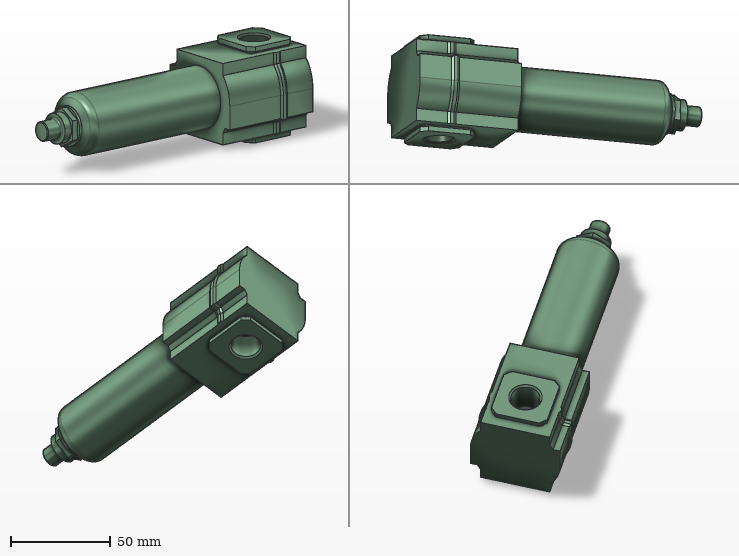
import cadquery as cq
import math


LENGTH = 158.8
WIDTH = 48.5
Y_BACK = LENGTH / 2

HOUSING_LENGTH = 54.6
HOUSING_HALF_HEIGHT = 21.3
FLANK_X = 18.1
BEAD_HEIGHT = 0.71
LOBE_X = WIDTH / 2 - BEAD_HEIGHT
SHELF_Z = 12.2
BEVEL_TOP_Z = 15.1
BEVEL_FOOT_X = 19.8

PORT_STATION = 19.0
BEAD_FOOT_WIDTH = 4.5
BEAD_CREST_WIDTH = 1.9

NECK_WIDTH = 25.9
NECK_HEIGHT = 1.3
NECK_CORNER_CHAMFER = 0.5
PLATE_WIDTH = 29.2
PLATE_THICKNESS = 2.5
PLATE_CORNER_CHAMFER = 3.3
PORT_RADIUS = 7.5
PORT_CHAMFER = 1.0
PORT_DEPTH = 15.9

BOWL_RADIUS = 16.4
BOWL_STRAIGHT_END = 134.7
SHOULDER_RADIUS = 4.5
SHOULDER_ANGLE = math.radians(60)
BOSS_RADIUS = 10.3
BOSS_END = 142.3

HEX_ACROSS_FLATS = 17.6
HEX_END = 145.6
COLLAR_RADIUS = 8.0
COLLAR_END = 149.9
STEM_RADIUS = 5.1
STEM_ROOT_FILLET = 1.0
STEM_TIP_CHAMFER = 0.5


def section_plane(station):
    """XZ plane whose normal is -Y, at a distance from the back face."""
    return cq.Workplane("XZ", origin=(0, Y_BACK - station, 0))


def housing_outline(station):
    """Cross-section of the housing, unchanged by half a turn about the axis."""
    top = HOUSING_HALF_HEIGHT
    arc_end_z = math.sqrt(LOBE_X**2 - FLANK_X**2)
    mid_angle = math.atan2(arc_end_z, FLANK_X) / 2
    mid_x = LOBE_X * math.cos(mid_angle)
    mid_z = LOBE_X * math.sin(mid_angle)
    return (
        section_plane(station)
        .moveTo(FLANK_X, top)
        .lineTo(-FLANK_X, top)
        .lineTo(-FLANK_X, BEVEL_TOP_Z)
        .lineTo(-BEVEL_FOOT_X, SHELF_Z)
        .lineTo(-LOBE_X, SHELF_Z)
        .lineTo(-LOBE_X, 0)
        .threePointArc((-mid_x, -mid_z), (-FLANK_X, -arc_end_z))
        .lineTo(-FLANK_X, -top)
        .lineTo(FLANK_X, -top)
        .lineTo(FLANK_X, -BEVEL_TOP_Z)
        .lineTo(BEVEL_FOOT_X, -SHELF_Z)
        .lineTo(LOBE_X, -SHELF_Z)
        .lineTo(LOBE_X, 0)
        .threePointArc((mid_x, mid_z), (FLANK_X, arc_end_z))
        .close()
    )


def make_bead():
    """Band with sloping sides that follows the side walls and stops flush at top and bottom."""
    first_edge = PORT_STATION - BEAD_FOOT_WIDTH / 2
    slope_width = (BEAD_FOOT_WIDTH - BEAD_CREST_WIDTH) / 2
    band = (
        housing_outline(first_edge)
        .offset2D(BEAD_HEIGHT, "intersection")
        .extrude(BEAD_FOOT_WIDTH)
    )
    band = band.faces("<Y or >Y").chamfer(slope_width, BEAD_HEIGHT)
    limits = cq.Workplane("XY").box(WIDTH, LENGTH, 2 * HOUSING_HALF_HEIGHT)
    return band.intersect(limits)


def square_pad(base_z, width, height, corner_chamfer):
    """Square pad with chamfered corners, centred on the port axis."""
    return (
        cq.Workplane("XY", origin=(0, Y_BACK - PORT_STATION, base_z))
        .rect(width, width)
        .extrude(height)
        .edges("|Z")
        .chamfer(corner_chamfer)
    )


def make_flange():
    """Upper port flange: a narrow neck carrying a wider plate."""
    neck_top = HOUSING_HALF_HEIGHT + NECK_HEIGHT
    neck = square_pad(HOUSING_HALF_HEIGHT, NECK_WIDTH, NECK_HEIGHT, NECK_CORNER_CHAMFER)
    plate = square_pad(neck_top, PLATE_WIDTH, PLATE_THICKNESS, PLATE_CORNER_CHAMFER)
    return neck.union(plate)


def make_port():
    """Blind port with a chamfered mouth, to be cut from the upper flange."""
    mouth_z = HOUSING_HALF_HEIGHT + NECK_HEIGHT + PLATE_THICKNESS
    mouth_radius = PORT_RADIUS + PORT_CHAMFER
    return (
        cq.Workplane("XZ", origin=(0, Y_BACK - PORT_STATION, mouth_z))
        .polyline([
            (0, 0),
            (mouth_radius, 0),
            (PORT_RADIUS, -PORT_CHAMFER),
            (PORT_RADIUS, -PORT_DEPTH),
            (0, -PORT_DEPTH),
        ])
        .close()
        .revolve(360, (0, 0), (0, 1))
    )


def make_housing():
    """Block with its bead, and a flanged port on the top and on the bottom."""
    body = housing_outline(0).extrude(HOUSING_LENGTH).union(make_bead())
    for flange_angle in (0, 180):
        flange = make_flange().rotate((0, 0, 0), (0, 1, 0), flange_angle)
        port = make_port().rotate((0, 0, 0), (0, 1, 0), flange_angle)
        body = body.union(flange).cut(port)
    return body


def make_bowl():
    """Plain cylinder with a rounded shoulder, an end cone and a short boss."""
    def shoulder_point(angle):
        radius = BOWL_RADIUS - SHOULDER_RADIUS * (1 - math.cos(angle))
        station = BOWL_STRAIGHT_END + SHOULDER_RADIUS * math.sin(angle)
        return radius, Y_BACK - station

    cone_radius, cone_y = shoulder_point(SHOULDER_ANGLE)
    cone_length = (cone_radius - BOSS_RADIUS) / math.tan(SHOULDER_ANGLE)
    return (
        cq.Workplane("XY")
        .moveTo(0, Y_BACK - HOUSING_LENGTH)
        .lineTo(BOWL_RADIUS, Y_BACK - HOUSING_LENGTH)
        .lineTo(BOWL_RADIUS, Y_BACK - BOWL_STRAIGHT_END)
        .threePointArc(shoulder_point(SHOULDER_ANGLE / 2), (cone_radius, cone_y))
        .lineTo(BOSS_RADIUS, cone_y - cone_length)
        .lineTo(BOSS_RADIUS, Y_BACK - BOSS_END)
        .lineTo(0, Y_BACK - BOSS_END)
        .close()
        .revolve(360, (0, 0), (0, 1))
    )


def make_drain():
    """Hexagon with two flats facing +X and -X, then a round collar and the outlet stem."""
    hexagon = (
        section_plane(BOSS_END)
        .polygon(6, HEX_ACROSS_FLATS, circumscribed=True)
        .extrude(HEX_END - BOSS_END)
    )
    collar = section_plane(HEX_END).circle(COLLAR_RADIUS).extrude(COLLAR_END - HEX_END)
    stem = (
        section_plane(COLLAR_END)
        .circle(STEM_RADIUS)
        .extrude(LENGTH - COLLAR_END)
        .faces("<Y")
        .chamfer(STEM_TIP_CHAMFER)
    )
    outlet = collar.union(stem)
    stem_root = outlet.faces("<Y[1]").edges(cq.selectors.RadiusNthSelector(0))
    return hexagon.union(stem_root.fillet(STEM_ROOT_FILLET))


housing = make_housing()
bowl = make_bowl()
drain = make_drain()

result = cq.Compound.makeCompound([housing.val(), bowl.val(), drain.val()])